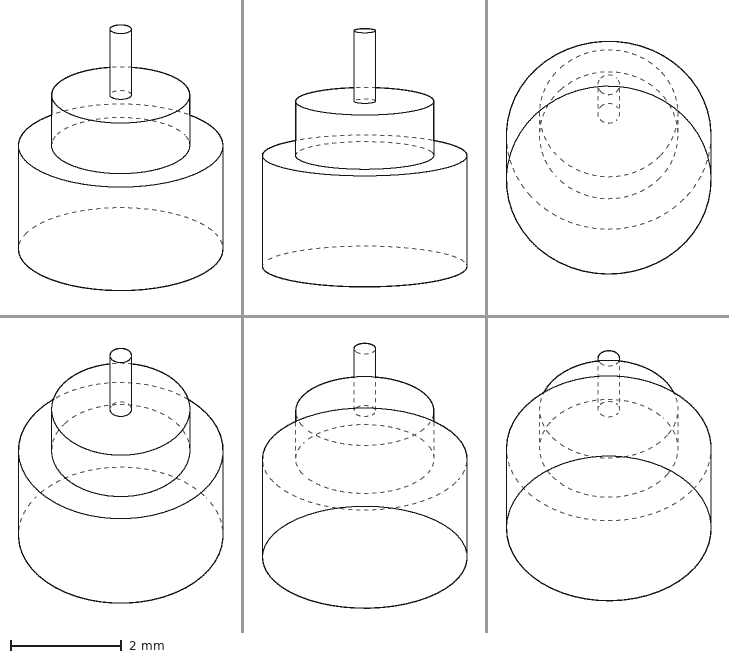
import cadquery as cq

body_diameter = 3.7
body_height = 2.05
collar_diameter = 2.5
collar_height = 1.0
pin_diameter = 0.39
total_height = 4.35

pin_length = total_height - body_height - collar_height

body = cq.Workplane("XY").circle(body_diameter / 2).extrude(body_height)
with_collar = body.faces(">Z").workplane().circle(collar_diameter / 2).extrude(collar_height)
result = with_collar.faces(">Z").workplane().circle(pin_diameter / 2).extrude(pin_length)